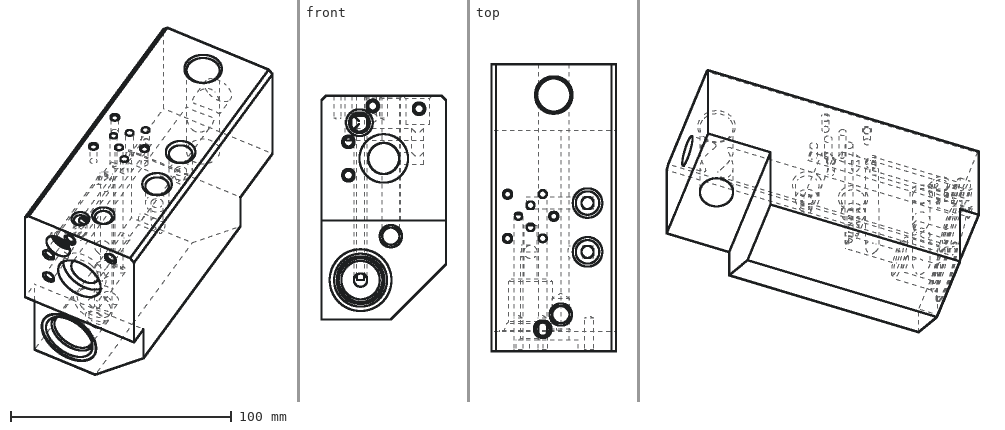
import cadquery as cq
import math

WIDTH = 56.4
LENGTH = 130.0
HEIGHT = 101.4
UPPER_HEIGHT = 56.5
FRONT_SETBACK = 9.0
REAR_SETBACK = 30.0
TOP_CHAMFER = 2.0
BEVEL = 25.0

FRONT_Y = -LENGTH / 2
LOWER_FRONT_Y = FRONT_Y + FRONT_SETBACK
LOWER_LENGTH = LENGTH - FRONT_SETBACK - REAR_SETBACK

INWARD = cq.Vector(0, 1, 0)
DOWN = cq.Vector(0, 0, -1)
SIDEWAYS = cq.Vector(-1, 0, 0)

COUNTERSINK_SLOPE = 1.0
DRILL_TIP_SLOPE = math.tan(math.radians(30))

MAIN_BORE = 14.0
MAIN_RECESS = 22.0
MAIN_RECESS_DEPTH = 5.0
MAIN_DEPTH = 28.4

REAR_HOLE = 15.0
REAR_HOLE_MOUTH = 17.0
REAR_HOLE_Y = 51.0

M5_CORE = 4.13
M5_MOUTH = 5.7
M5_DEPTH = 15.0
FRONT_M5_PLACES = [(-5.0, 4.65), (16.0, 5.9), (-16.0, 36.0)]

VALVE_Y = -3.9
VALVE_PITCH = 5.0
M4_CORE = 3.24
M4_MOUTH = 4.13
M4_DEPTH = 10.0
OIL_HOLE = 3.5
PILOT_HOLE = 3.24
PILOT_X = -16.0
PILOT_DEPTH = 20.9
INNER_OIL_X = -10.5
OUTER_OIL_X = -5.0
VALVE_SCREW_X = -20.9
PASSAGE_OVERRUN = 0.8

CARTRIDGE_X = -11.0
CARTRIDGE_DEPTH = 12.2
CARTRIDGE_RECESS = 12.1
CARTRIDGE_RECESS_DEPTH = 5.0
CARTRIDGE_MOUTH = 9.4
CARTRIDGE_BORE = 8.0
PASSAGE = 6.0

PORT_X = INNER_OIL_X
PORT_DEPTH = 83.5
PORT_SPOTFACE = 28.0
PORT_SPOTFACE_DEPTH = 0.5
PORT_MOUTH = 24.0
PORT_SEAL_END = 21.6
PORT_SEAL_LENGTH = 3.0
PORT_THREAD = 19.8
PORT_THREAD_DEPTH = 19.0
PORT_CORE = 17.4

GAUGE_CORE = 7.8
GAUGE_MOUTH = 10.1
GAUGE_X = 3.2
GAUGE_TOP_Y = -48.4
GAUGE_FRONT_DEPTH = 63.6
GAUGE_FRONT_LENGTH = 15.0

PLUG_X = OUTER_OIL_X
PLUG_Y = -55.0
PLUG_MOUTH = 8.0
PLUG_CORE = 6.0
PLUG_DEPTH = 9.0
PLUG_PASSAGE = 4.0
PLUG_PASSAGE_DEPTH = 10.0

SIDE_PORT_X = 15.3
SIDE_PORT_REAR_Y = 2.1
SIDE_PORT_FRONT_Y = -20.0
SIDE_PORT_MOUTH = 13.4
SIDE_PORT_CORE = 10.65
SIDE_PORT_DEPTH = 13.0
SIDE_PASSAGE = 5.5
REAR_PASSAGE_DEPTH = 17.5


def make_body():
    upper = (
        cq.Workplane("XY")
        .box(WIDTH, LENGTH, UPPER_HEIGHT, centered=(True, True, False))
        .edges("|Y and >Z")
        .chamfer(TOP_CHAMFER)
        .translate((0, 0, HEIGHT - UPPER_HEIGHT))
    )
    half = WIDTH / 2
    step_z = HEIGHT - UPPER_HEIGHT
    lower = (
        cq.Workplane("XZ", origin=(0, LOWER_FRONT_Y, 0))
        .polyline([(-half, 0), (half - BEVEL, 0), (half, BEVEL), (half, step_z), (-half, step_z)])
        .close()
        .extrude(-LOWER_LENGTH)
    )
    return upper.union(lower)


def on_front(x, depth):
    return cq.Vector(x, FRONT_Y, HEIGHT - depth)


def on_lower_front(x, depth):
    return cq.Vector(x, LOWER_FRONT_Y, HEIGHT - depth)


def on_top(x, y):
    return cq.Vector(x, y, HEIGHT)


def cut_cylinder(body, start, direction, diameter, length):
    return body.cut(cq.Workplane(cq.Solid.makeCylinder(diameter / 2, length, start, direction)))


def cut_cone(body, start, direction, mouth, end, slope):
    length = (mouth - end) / 2 * slope
    return body.cut(cq.Workplane(cq.Solid.makeCone(mouth / 2, end / 2, length, start, direction)))


def countersunk_hole(body, start, direction, mouth, core, length):
    body = cut_cone(body, start, direction, mouth, core, COUNTERSINK_SLOPE)
    return cut_cylinder(body, start, direction, core, length)


def drilled_hole(body, start, direction, mouth, core, length):
    """Countersunk blind hole ending in a drill point."""
    body = countersunk_hole(body, start, direction, mouth, core, length)
    return cut_cone(body, start + direction * length, direction, core, 0, DRILL_TIP_SLOPE)


def cut_main_bores(body):
    start = on_front(0, MAIN_DEPTH)
    body = cut_cylinder(body, start, INWARD, MAIN_BORE, LENGTH)
    body = cut_cylinder(body, start, INWARD, MAIN_RECESS, MAIN_RECESS_DEPTH)
    return countersunk_hole(body, on_top(0, REAR_HOLE_Y), DOWN, REAR_HOLE_MOUTH, REAR_HOLE, UPPER_HEIGHT)


def cut_front_screw_holes(body):
    for x, depth in FRONT_M5_PLACES:
        body = drilled_hole(body, on_front(x, depth), INWARD, M5_MOUTH, M5_CORE, M5_DEPTH)
    return body


def cut_valve_pattern(body):
    front_row, inner_front, inner_rear, rear_row = [VALVE_Y + step * VALVE_PITCH for step in (-2, -1, 1, 2)]
    screw_places = [(VALVE_SCREW_X, front_row), (VALVE_SCREW_X, rear_row), (0, VALVE_Y)]
    for x, y in screw_places:
        body = drilled_hole(body, on_top(x, y), DOWN, M4_MOUTH, M4_CORE, M4_DEPTH)
    for y in (front_row, rear_row):
        body = cut_cylinder(body, on_top(OUTER_OIL_X, y), DOWN, OIL_HOLE, PLUG_PASSAGE_DEPTH)
    body = cut_cylinder(body, on_top(INNER_OIL_X, inner_front), DOWN, OIL_HOLE, PORT_DEPTH)
    return cut_cylinder(body, on_top(INNER_OIL_X, inner_rear), DOWN, OIL_HOLE, REAR_PASSAGE_DEPTH)


def cut_pilot(body):
    """Vertical pilot hole fed by a long countersunk hole from the front face."""
    body = cut_cylinder(body, on_top(PILOT_X, VALVE_Y), DOWN, PILOT_HOLE, PILOT_DEPTH)
    feed_length = VALVE_Y + PASSAGE_OVERRUN - FRONT_Y
    return drilled_hole(body, on_front(PILOT_X, PILOT_DEPTH), INWARD, M5_MOUTH, M5_CORE, feed_length)


def cut_cartridge_port(body):
    start = on_front(CARTRIDGE_X, CARTRIDGE_DEPTH)
    body = cut_cylinder(body, start, INWARD, CARTRIDGE_RECESS, CARTRIDGE_RECESS_DEPTH)
    seat = start + INWARD * CARTRIDGE_RECESS_DEPTH
    bore_length = SIDE_PORT_FRONT_Y - seat.y
    body = countersunk_hole(body, seat, INWARD, CARTRIDGE_MOUTH, CARTRIDGE_BORE, bore_length)
    elbow = cq.Vector(PORT_X, SIDE_PORT_FRONT_Y, HEIGHT - CARTRIDGE_DEPTH)
    rise = PASSAGE / 2
    passage_length = rise + PORT_DEPTH - CARTRIDGE_DEPTH
    body = cut_cylinder(body, elbow - DOWN * rise, DOWN, PASSAGE, passage_length)
    return cut_cylinder(body, elbow, SIDEWAYS, PASSAGE, CARTRIDGE_BORE / 2)


def cut_large_port(body):
    start = on_lower_front(PORT_X, PORT_DEPTH)
    body = cut_cylinder(body, start, INWARD, PORT_SPOTFACE, PORT_SPOTFACE_DEPTH)
    seat = start + INWARD * PORT_SPOTFACE_DEPTH
    seal_slope = 2 * PORT_SEAL_LENGTH / (PORT_MOUTH - PORT_SEAL_END)
    body = cut_cone(body, seat, INWARD, PORT_MOUTH, PORT_SEAL_END, seal_slope)
    seal_end = seat + INWARD * PORT_SEAL_LENGTH
    body = countersunk_hole(body, seal_end, INWARD, PORT_SEAL_END, PORT_THREAD, PORT_THREAD_DEPTH)
    thread_end = seal_end + INWARD * PORT_THREAD_DEPTH
    body = cut_cone(body, thread_end, INWARD, PORT_THREAD, PORT_CORE, COUNTERSINK_SLOPE)
    passage_end = VALVE_Y - VALVE_PITCH + PASSAGE_OVERRUN
    return cut_cylinder(body, start, INWARD, PASSAGE, passage_end - start.y)


def cut_gauge_ports(body):
    top = on_top(GAUGE_X, GAUGE_TOP_Y)
    body = countersunk_hole(body, top, DOWN, GAUGE_MOUTH, GAUGE_CORE, GAUGE_FRONT_DEPTH)
    front = on_lower_front(GAUGE_X, GAUGE_FRONT_DEPTH)
    return drilled_hole(body, front, INWARD, GAUGE_MOUTH, GAUGE_CORE, GAUGE_FRONT_LENGTH)


def cut_plug_hole(body):
    body = drilled_hole(body, on_top(PLUG_X, PLUG_Y), DOWN, PLUG_MOUTH, PLUG_CORE, PLUG_DEPTH)
    start = cq.Vector(PLUG_X, PLUG_Y - PLUG_CORE / 2, HEIGHT - PLUG_PASSAGE_DEPTH)
    passage_end = VALVE_Y + 2 * VALVE_PITCH + PLUG_PASSAGE / 2
    return cut_cylinder(body, start, INWARD, PLUG_PASSAGE, passage_end - start.y)


def cut_side_port(body, y, passage_depth, passage_end_x):
    """Port on the top face with a cross passage leading from its foot."""
    top = on_top(SIDE_PORT_X, y)
    body = countersunk_hole(body, top, DOWN, SIDE_PORT_MOUTH, SIDE_PORT_CORE, SIDE_PORT_DEPTH)
    body = cut_cylinder(body, top, DOWN, SIDE_PASSAGE, passage_depth)
    start = top + DOWN * passage_depth - SIDEWAYS * (SIDE_PASSAGE / 2)
    return cut_cylinder(body, start, SIDEWAYS, SIDE_PASSAGE, start.x - passage_end_x)


def cut_side_ports(body):
    oil_hole_far_side = INNER_OIL_X - OIL_HOLE / 2
    body = cut_side_port(body, SIDE_PORT_REAR_Y, REAR_PASSAGE_DEPTH, oil_hole_far_side)
    return cut_side_port(body, SIDE_PORT_FRONT_Y, MAIN_DEPTH, 0)


result = make_body()
result = cut_main_bores(result)
result = cut_front_screw_holes(result)
result = cut_valve_pattern(result)
result = cut_pilot(result)
result = cut_cartridge_port(result)
result = cut_large_port(result)
result = cut_gauge_ports(result)
result = cut_plug_hole(result)
result = cut_side_ports(result)